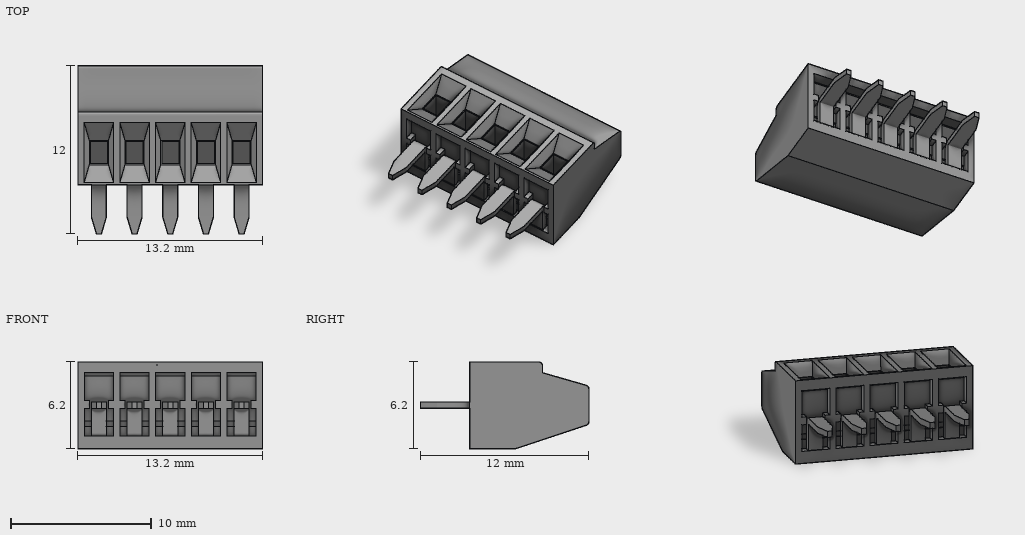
import cadquery as cq
import math


WAY_COUNT = 5
PITCH = 2.54
WAY_CENTRES = [(index - (WAY_COUNT - 1) / 2) * PITCH for index in range(WAY_COUNT)]

LENGTH = 13.16
HEIGHT = 6.2
OVERALL_DEPTH = 12.0
PIN_REACH = 3.5
DEPTH = OVERALL_DEPTH - PIN_REACH
STEP_Y = 5.2
STEP_DROP = 0.78
BACK_TOP_Z = 4.47
BACK_BOTTOM_Z = 1.74
BASE_LENGTH = 3.26
EDGE_RADIUS = 0.3

POCKET_WIDTH = 2.08
POCKET_DEPTH = 0.65
POCKET_TOP_Z = 5.42
POCKET_FLOOR_Z = 0.91
NECK_WIDTH = 1.37
NECK_TOP_Z = 3.45
NECK_BOTTOM_Z = 2.88
SLOT_DEPTH = 0.13
UPPER_SLOT_HEIGHT = 0.25
LOWER_SLOT_BOTTOM_Z = 1.58
LOWER_SLOT_HEIGHT = 0.41

FUNNEL_DEPTH = HEIGHT - POCKET_TOP_Z
FUNNEL_TOP_WIDTH = 2.1
FUNNEL_TOP_FRONT_Y = 0.16
FUNNEL_TOP_LENGTH = 4.29
FUNNEL_BOTTOM_WIDTH = 1.37
FUNNEL_BOTTOM_LENGTH = 1.74
FUNNEL_CENTRE_Y = FUNNEL_TOP_FRONT_Y + FUNNEL_TOP_LENGTH / 2
SHAFT_LEDGE = 0.08
SHAFT_DEPTH = 2.1

SHEET = 0.46
CONTACT_WIDTH = 1.08
PIN_BOTTOM_Z = NECK_BOTTOM_Z
PIN_TOP_Z = PIN_BOTTOM_Z + SHEET
LEG_FRONT_Y = 0.07
LEG_BACK_Y = LEG_FRONT_Y + SHEET
BEND_INNER_RADIUS = 0.07
BEND_OUTER_RADIUS = BEND_INNER_RADIUS + SHEET
FOOT_HEIGHT = 0.17
TIP_WIDTH = 0.35
TIP_LENGTH = 1.21


def box_between(width, front_y, back_y, bottom_z, top_z):
    """Box centred on X = 0 between the given Y and Z limits."""
    return (
        cq.Workplane("XY", origin=(0, (front_y + back_y) / 2, bottom_z))
        .rect(width, back_y - front_y)
        .extrude(top_z - bottom_z)
    )


def make_housing_block():
    """Side profile extruded over the full length, with the rear upper and lower edges rounded."""
    profile = [
        (0, 0),
        (BASE_LENGTH, 0),
        (DEPTH, BACK_BOTTOM_Z),
        (DEPTH, BACK_TOP_Z),
        (STEP_Y, HEIGHT - STEP_DROP),
        (STEP_Y, HEIGHT),
        (0, HEIGHT),
    ]
    block = cq.Workplane("YZ").polyline(profile).close().extrude(LENGTH / 2, both=True)
    block = block.edges("|X and >Y").fillet(EDGE_RADIUS)
    step_edge = cq.selectors.NearestToPointSelector((0, STEP_Y, HEIGHT))
    return block.edges(step_edge).fillet(EDGE_RADIUS)


def make_pocket():
    """Contact pocket: wide above and below, necked around the pin, with two slots in its back wall."""
    upper = box_between(POCKET_WIDTH, 0, POCKET_DEPTH, NECK_TOP_Z, POCKET_TOP_Z)
    neck = box_between(NECK_WIDTH, 0, POCKET_DEPTH, NECK_BOTTOM_Z, NECK_TOP_Z)
    lower = box_between(POCKET_WIDTH, 0, POCKET_DEPTH, POCKET_FLOOR_Z, NECK_BOTTOM_Z)
    slot_back_y = POCKET_DEPTH + SLOT_DEPTH
    upper_slot = box_between(POCKET_WIDTH, 0, slot_back_y, POCKET_TOP_Z - UPPER_SLOT_HEIGHT, POCKET_TOP_Z)
    lower_slot_top_z = LOWER_SLOT_BOTTOM_Z + LOWER_SLOT_HEIGHT
    lower_slot = box_between(POCKET_WIDTH, 0, slot_back_y, LOWER_SLOT_BOTTOM_Z, lower_slot_top_z)
    return upper.union(neck).union(lower).union(upper_slot).union(lower_slot)


def make_funnel():
    """Tapered opening in the top face, leading over a small ledge into a straight blind shaft."""
    taper = (
        cq.Workplane("XY", origin=(0, FUNNEL_CENTRE_Y, HEIGHT))
        .rect(FUNNEL_TOP_WIDTH, FUNNEL_TOP_LENGTH)
        .workplane(offset=-FUNNEL_DEPTH)
        .rect(FUNNEL_BOTTOM_WIDTH, FUNNEL_BOTTOM_LENGTH)
        .loft(ruled=True)
    )
    shaft = (
        cq.Workplane("XY", origin=(0, FUNNEL_CENTRE_Y, HEIGHT - FUNNEL_DEPTH))
        .rect(FUNNEL_BOTTOM_WIDTH - 2 * SHAFT_LEDGE, FUNNEL_BOTTOM_LENGTH - 2 * SHAFT_LEDGE)
        .extrude(-SHAFT_DEPTH)
    )
    return taper.union(shaft)


def make_housing():
    housing = make_housing_block()
    way_cavity = make_pocket().union(make_funnel())
    for centre_x in WAY_CENTRES:
        housing = housing.cut(way_cavity.translate((centre_x, 0, 0)))
    return housing.solids()


def make_contact():
    """Flat pin with a tapered tip, bent down at its root into a leg on the pocket floor.

    The front of the leg curves back at its foot with the same outer radius as the bend.
    """
    bend_y = LEG_FRONT_Y - BEND_INNER_RADIUS
    bend_z = PIN_BOTTOM_Z - BEND_INNER_RADIUS
    diagonal = math.sqrt(0.5)
    outer_mid = (bend_y + BEND_OUTER_RADIUS * diagonal, bend_z + BEND_OUTER_RADIUS * diagonal)
    inner_mid = (bend_y + BEND_INNER_RADIUS * diagonal, bend_z + BEND_INNER_RADIUS * diagonal)
    foot_top_z = POCKET_FLOOR_Z + FOOT_HEIGHT
    foot_setback = BEND_OUTER_RADIUS - math.sqrt(BEND_OUTER_RADIUS**2 - FOOT_HEIGHT**2)
    strip = (
        cq.Workplane("YZ")
        .moveTo(-PIN_REACH, PIN_TOP_Z)
        .lineTo(bend_y, PIN_TOP_Z)
        .threePointArc(outer_mid, (LEG_BACK_Y, bend_z))
        .lineTo(LEG_BACK_Y, POCKET_FLOOR_Z)
        .lineTo(LEG_FRONT_Y + foot_setback, POCKET_FLOOR_Z)
        .radiusArc((LEG_FRONT_Y, foot_top_z), BEND_OUTER_RADIUS)
        .lineTo(LEG_FRONT_Y, bend_z)
        .threePointArc(inner_mid, (bend_y, PIN_BOTTOM_Z))
        .lineTo(-PIN_REACH, PIN_BOTTOM_Z)
        .close()
        .extrude(CONTACT_WIDTH / 2, both=True)
    )
    taper_start_y = TIP_LENGTH - PIN_REACH
    plan = (
        cq.Workplane("XY")
        .moveTo(-TIP_WIDTH / 2, -PIN_REACH)
        .lineTo(TIP_WIDTH / 2, -PIN_REACH)
        .lineTo(CONTACT_WIDTH / 2, taper_start_y)
        .lineTo(CONTACT_WIDTH / 2, LEG_BACK_Y)
        .lineTo(-CONTACT_WIDTH / 2, LEG_BACK_Y)
        .lineTo(-CONTACT_WIDTH / 2, taper_start_y)
        .close()
        .extrude(HEIGHT)
    )
    return strip.intersect(plan).solids()


housing = make_housing()
contact = make_contact()
contacts = [contact.translate((centre_x, 0, 0)).val() for centre_x in WAY_CENTRES]

result = cq.Compound.makeCompound([housing.val(), *contacts])